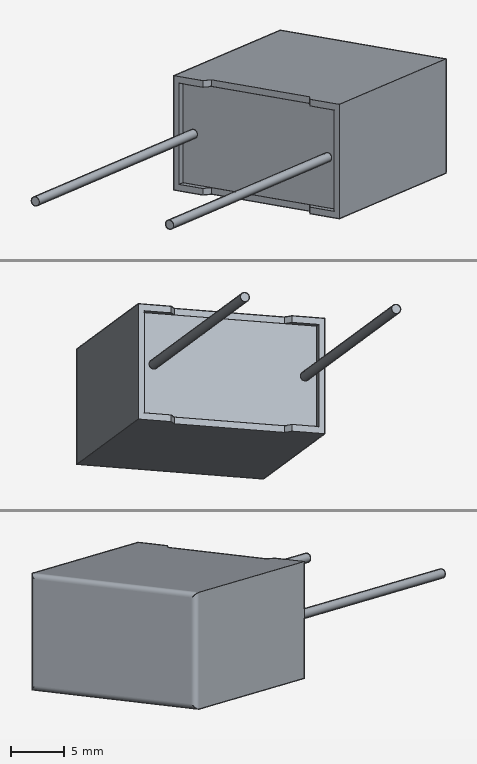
import cadquery as cq

case_width = 18.5
case_length = 19.1
case_height = 11.21
side_wall = 0.6
broad_wall = 0.65
back_wall = side_wall
back_fillet = 0.5

notch_depth = 0.7
notch_mouth_width = 12.0
notch_floor_width = 10.9

lead_diameter = 0.9
lead_pitch = 15.0
lead_protrusion = 27.0

mouth_y = -case_length / 2
back_y = case_length / 2
resin_y = mouth_y + notch_depth
lead_tip_y = mouth_y - lead_protrusion

cavity_width = case_width - 2 * side_wall
cavity_height = case_height - 2 * broad_wall
cavity_back_y = back_y - back_wall


def make_block(width, height, front_y, rear_y):
    """Rectangular block centred on X and Z, between two Y positions."""
    return (
        cq.Workplane("XY")
        .box(width, rear_y - front_y, height)
        .translate((0, (front_y + rear_y) / 2, 0))
    )


def make_notch_cutter():
    """Trapezoidal prism through the full height, narrowing away from the mouth."""
    return (
        cq.Workplane("XY")
        .moveTo(-notch_mouth_width / 2, mouth_y)
        .lineTo(notch_mouth_width / 2, mouth_y)
        .lineTo(notch_floor_width / 2, resin_y)
        .lineTo(-notch_floor_width / 2, resin_y)
        .close()
        .extrude(case_height, both=True)
    )


def make_case():
    """Thin-walled box with a rounded back and notched broad walls."""
    shell = make_block(case_width, case_height, mouth_y, back_y)
    shell = shell.faces(">Y").edges().fillet(back_fillet)
    cavity = make_block(cavity_width, cavity_height, mouth_y, cavity_back_y)
    return shell.cut(cavity).cut(make_notch_cutter())


def make_resin():
    """Filling of the cavity, flush with the notch floors."""
    return make_block(cavity_width, cavity_height, resin_y, cavity_back_y)


def make_lead(x):
    """Straight round wire along Y, from the resin face to its free tip."""
    return (
        cq.Workplane("XZ", origin=(x, resin_y, 0))
        .circle(lead_diameter / 2)
        .extrude(resin_y - lead_tip_y)
    )


case = make_case()
resin = make_resin()
leads = [make_lead(side * lead_pitch / 2) for side in (-1, 1)]

result = cq.Compound.makeCompound([case.val(), resin.val(), *[lead.val() for lead in leads]])